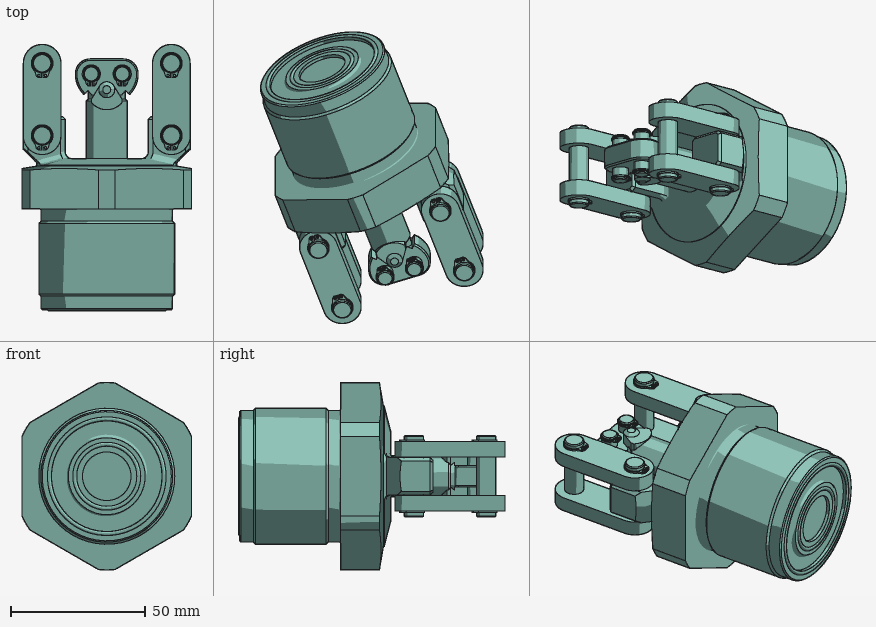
import cadquery as cq
import math


RIM_Y = 0.5
RIM_CHAMFER = 0.5
COLLAR_R = 24.5
THREAD_R = 25.3
THREAD_CHAMFER = THREAD_R - COLLAR_R
THREAD_Y0 = 5.6
THREAD_Y1 = 33.5
HEX_Y0 = 38.1
NECK_FILLET = 0.5
HEX_FLATS = 63.3
HEX_CORNER_R = 34.92
HEX_EDGE_Y = 52.6
DOME_R = 26.1
DOME_FOOT_Y = 54.0
DOME_EDGE_Y = 54.3
DOME_FLAT_R = 16.5
DOME_FLAT_Y = 56.8

BEAD_R = 0.8
OUTER_BEAD_R = 21.4
INNER_BEAD_R = 11.9
FACE_GROOVE_OUTER_R = 20.6
FACE_GROOVE_INNER_R = 14.3
FACE_GROOVE_DEPTH = 1.3
CENTRE_RECESS_R = 9.0
CENTRE_RECESS_DEPTH = 1.2

LINK_X = 24.0
LINK_WIDTH = 14.1
LINK_END_Y = 99.35
LINK_PIN_PITCH = 26.9
LINK_GAP = 14.2
LINK_THICKNESS = 5.9
LINK_PIN_R = 3.63
LINK_PIN_LENGTH = 30.4
LINK_PIN_YS = [LINK_END_Y - LINK_WIDTH / 2, LINK_END_Y - LINK_WIDTH / 2 - LINK_PIN_PITCH]
PIN_CHAMFER = 0.4
CLIP_THICKNESS = 0.6
CLIP_RING_WIDTH = 0.4
CLIP_EAR_RATIO = 1.48
CLIP_EAR_HOLE_R = 0.45
CLIP_SLIT = 0.5

LUG_OUTER_X = LINK_X + LINK_WIDTH / 2
LUG_INNER_X = 15.4
LUG_END_Y = 72.4
LUG_THICKNESS = 13.9
LUG_SIDE_CHAMFER_X = 1.8
LUG_SIDE_CHAMFER_Z = 1.3
LUG_END_CHAMFER = 1.0
LUG_FILLET = 2.5
LUG_TAPER_Y = 55.2

STEM_R = 7.65
STEM_SHOULDER_Y = 79.0
STEM_CHAMFER = 0.7
HEAD_THICKNESS = 7.9
HEAD_HALF_WIDTH = 11.7
HEAD_PIN_X = 5.8
HEAD_PIN_Y = 88.3
HEAD_END_Y = 94.0
HEAD_LOBE_R = 10.9
HEAD_NOTCH_X = 7.1
HEAD_NOTCH_Y = 82.1
HEAD_NOTCH_DEPTH = 1.5
HEAD_CHAMFER = 0.6
HEAD_PIN_R = 3.0
HEAD_PIN_LENGTH = 17.3
HEAD_CLIP_Z = 7.2
BOSS_Y = 82.5
BOSS_THICKNESS = 16.1
BOSS_TOP_R = 3.0
BOSS_FOOT_R = 7.5
BOSS_HALF_WIDTH = 5.7
BOSS_FLANK_ANGLE = 32
NIPPLE_TOP_R = 1.5
NIPPLE_HEIGHT = 1.0


def revolve_y(points):
    """Solid of revolution about the Y axis from (radius, y) points."""
    return cq.Workplane("XY").polyline(points).close().revolve(360, (0, 0, 0), (0, 1, 0))


def disc_z(x, y, z, radius, height):
    return cq.Workplane("XY", origin=(x, y, z)).circle(radius).extrude(height)


def seal_bead(radius):
    return (cq.Workplane("XY").center(radius, BEAD_R).circle(BEAD_R)
            .revolve(360, (-radius, 0, 0), (-radius, 1, 0)))


def face_groove():
    """Ring groove in the front face, with a concave fillet against the central boss."""
    floor_y = RIM_Y + FACE_GROOVE_DEPTH
    fillet_mid = FACE_GROOVE_DEPTH * (1 - math.sqrt(0.5))
    return (cq.Workplane("XY").moveTo(FACE_GROOVE_INNER_R, 0)
            .lineTo(FACE_GROOVE_INNER_R, RIM_Y)
            .threePointArc((FACE_GROOVE_INNER_R + fillet_mid, floor_y - fillet_mid),
                           (FACE_GROOVE_INNER_R + FACE_GROOVE_DEPTH, floor_y))
            .lineTo(FACE_GROOVE_OUTER_R, floor_y)
            .lineTo(FACE_GROOVE_OUTER_R, 0)
            .close().revolve(360, (0, 0, 0), (0, 1, 0)))


def barrel():
    turned = revolve_y([
        (0, RIM_Y),
        (COLLAR_R - RIM_CHAMFER, RIM_Y),
        (COLLAR_R, RIM_Y + RIM_CHAMFER),
        (COLLAR_R, THREAD_Y0),
        (THREAD_R, THREAD_Y0 + THREAD_CHAMFER),
        (THREAD_R, THREAD_Y1 - THREAD_CHAMFER),
        (COLLAR_R, THREAD_Y1),
        (COLLAR_R, HEX_Y0),
        (0, HEX_Y0),
    ])
    fillet_mid = NECK_FILLET * (1 - math.sqrt(0.5))
    neck_fillet = (cq.Workplane("XY").moveTo(0, HEX_Y0)
                   .lineTo(0, HEX_Y0 - NECK_FILLET)
                   .lineTo(COLLAR_R, HEX_Y0 - NECK_FILLET)
                   .threePointArc((COLLAR_R + fillet_mid, HEX_Y0 - fillet_mid),
                                  (COLLAR_R + NECK_FILLET, HEX_Y0))
                   .close().revolve(360, (0, 0, 0), (0, 1, 0)))
    return turned.union(neck_fillet)


def hexagon():
    """Hexagon with flats square to X, rounded corners and a conical rear face."""
    corner = HEX_FLATS / 2 / math.cos(math.pi / 6)
    angles = [math.radians(30 + 60 * i) for i in range(6)]
    prism = (cq.Workplane("XZ", origin=(0, HEX_Y0, 0))
             .polyline([(corner * math.cos(a), corner * math.sin(a)) for a in angles])
             .close().extrude(HEX_Y0 - DOME_FLAT_Y))
    envelope = revolve_y([
        (0, HEX_Y0),
        (HEX_CORNER_R, HEX_Y0),
        (HEX_CORNER_R, HEX_EDGE_Y),
        (DOME_R, DOME_FOOT_Y),
        (0, DOME_FOOT_Y),
    ])
    return prism.intersect(envelope)


def lug_blank(side):
    """Straight lug with chamfered sides and end, reaching down into the dome."""
    half = LUG_THICKNESS / 2
    width = LUG_OUTER_X - LUG_INNER_X
    mid_x = side * (LUG_OUTER_X + LUG_INNER_X) / 2
    flat_x = width / 2 - LUG_SIDE_CHAMFER_X
    flat_z = half - LUG_SIDE_CHAMFER_Z
    section = [(flat_x, half), (width / 2, flat_z), (width / 2, -flat_z), (flat_x, -half),
               (-flat_x, -half), (-width / 2, -flat_z), (-width / 2, flat_z), (-flat_x, half)]
    return (cq.Workplane("XZ", origin=(mid_x, HEX_EDGE_Y, 0))
            .polyline(section).close().extrude(HEX_EDGE_Y - LUG_END_Y)
            .faces(">Y").chamfer(LUG_END_CHAMFER))


def lugged_dome():
    """Rear dome with both lugs, filleted at their roots and trimmed round by a 45 degree cone."""
    wide_r = DOME_R + 11.9
    slope = (DOME_FLAT_Y - DOME_EDGE_Y) / (DOME_R - DOME_FLAT_R)
    wide_y = DOME_FLAT_Y - slope * (wide_r - DOME_FLAT_R)
    base_y = HEX_Y0 + 1
    dome = revolve_y([
        (0, base_y),
        (wide_r, base_y),
        (wide_r, wide_y),
        (DOME_FLAT_R, DOME_FLAT_Y),
        (0, DOME_FLAT_Y),
    ])
    lugs = lug_blank(-1).union(lug_blank(1))
    root_box = cq.selectors.BoxSelector((-LUG_OUTER_X - 0.1, wide_y, -LUG_THICKNESS / 2 - 0.1),
                                        (LUG_OUTER_X + 0.1, DOME_FLAT_Y + 0.1, LUG_THICKNESS / 2 + 0.1),
                                        boundingbox=True)
    dome = dome.union(lugs)
    dome = dome.edges(root_box).fillet(LUG_FILLET)
    trim = revolve_y([
        (0, base_y),
        (DOME_R, base_y),
        (DOME_R, LUG_TAPER_Y),
        (DOME_R + LUG_END_Y - LUG_TAPER_Y, LUG_END_Y),
        (0, LUG_END_Y),
    ])
    return dome.intersect(trim)


def make_housing():
    housing = barrel().union(hexagon()).union(lugged_dome())
    housing = housing.cut(face_groove())
    housing = housing.cut(revolve_y([
        (0, 0),
        (CENTRE_RECESS_R, 0),
        (CENTRE_RECESS_R, RIM_Y + CENTRE_RECESS_DEPTH),
        (0, RIM_Y + CENTRE_RECESS_DEPTH),
    ]))
    for bead_r in (OUTER_BEAD_R, INNER_BEAD_R):
        housing = housing.union(seal_bead(bead_r))
    for side in (-1, 1):
        housing = housing.cut(disc_z(side * LINK_X, LINK_PIN_YS[1], -LUG_THICKNESS, LINK_PIN_R,
                                     2 * LUG_THICKNESS))
    return housing


def clip(x, y, z, pin_r):
    """Retaining ring lying on level z, with two drilled ears pointing to -Y."""
    ear_end = CLIP_EAR_RATIO * pin_r
    ear_half = 0.6 * pin_r
    ring_r = pin_r + CLIP_RING_WIDTH
    ears = (cq.Workplane("XY", origin=(x, y, z))
            .polyline([(-0.8 * pin_r, -0.7 * pin_r), (0.8 * pin_r, -0.7 * pin_r),
                       (ear_half, -1.3 * pin_r), (0.4 * pin_r, -ear_end),
                       (-0.4 * pin_r, -ear_end), (-ear_half, -1.3 * pin_r)])
            .close().extrude(CLIP_THICKNESS))
    holes = (cq.Workplane("XY", origin=(x, y, z))
             .pushPoints([(s * pin_r / 3, -1.25 * pin_r) for s in (-1, 1)])
             .circle(CLIP_EAR_HOLE_R).extrude(CLIP_THICKNESS))
    slit = (cq.Workplane("XY", origin=(x, y - ear_end, z))
            .rect(CLIP_SLIT, ear_end).extrude(CLIP_THICKNESS))
    return disc_z(x, y, z, ring_r, CLIP_THICKNESS).union(ears).cut(holes).cut(slit)


def clipped_pin(x, y, pin_r, length, clip_z):
    """Chamfered pin along Z with a clip at either end; clip_z is the inner side of the clip."""
    pin = disc_z(x, y, -length / 2, pin_r, length).faces("<Z or >Z").chamfer(PIN_CHAMFER)
    for z in (clip_z, -clip_z - CLIP_THICKNESS):
        pin = pin.union(clip(x, y, z, pin_r))
    return pin


def make_link(side):
    """Pair of link plates joined by two clipped pins."""
    x = side * LINK_X
    plate_z = LINK_GAP / 2
    mid_y = sum(LINK_PIN_YS) / 2
    link = None
    for y in LINK_PIN_YS:
        pin = clipped_pin(x, y, LINK_PIN_R, LINK_PIN_LENGTH, plate_z + LINK_THICKNESS)
        link = pin if link is None else link.union(pin)
    for z in (plate_z, -plate_z - LINK_THICKNESS):
        plate = (cq.Workplane("XY", origin=(x, mid_y, z))
                 .slot2D(LINK_PIN_PITCH + LINK_WIDTH, LINK_WIDTH, 90).extrude(LINK_THICKNESS))
        link = link.union(plate)
    return link


def stem_rod():
    """Rod with a chamfered shoulder and a neck whose end is flattened to the head thickness."""
    neck_r = STEM_R - STEM_CHAMFER
    flat_y = HEAD_NOTCH_Y - HEAD_NOTCH_DEPTH
    rod = revolve_y([
        (0, DOME_FLAT_Y),
        (STEM_R, DOME_FLAT_Y),
        (STEM_R, STEM_SHOULDER_Y - STEM_CHAMFER),
        (neck_r, STEM_SHOULDER_Y),
        (neck_r, HEAD_NOTCH_Y),
        (0, HEAD_NOTCH_Y),
    ])
    for side in (-1, 1):
        flat = cq.Workplane("XY").box(2 * neck_r, HEAD_NOTCH_DEPTH, STEM_R, centered=(True, False, True))
        rod = rod.cut(flat.translate((0, flat_y, side * (HEAD_THICKNESS + STEM_R) / 2)))
    return rod


def head_plate():
    """Rounded plate with a flat end, notched at 45 degrees below so that two lobes remain."""
    shoulder_r = HEAD_END_Y - HEAD_PIN_Y
    flat_x = HEAD_HALF_WIDTH - shoulder_r
    shoulder_mid = shoulder_r * math.sqrt(0.5)
    lobe_mid = HEAD_LOBE_R * math.sqrt(0.5)
    lobe_x = HEAD_HALF_WIDTH - HEAD_LOBE_R
    lobe_end_y = HEAD_PIN_Y - HEAD_LOBE_R
    plate = (cq.Workplane("XY", origin=(0, 0, -HEAD_THICKNESS / 2))
             .moveTo(-flat_x, HEAD_END_Y)
             .lineTo(flat_x, HEAD_END_Y)
             .threePointArc((flat_x + shoulder_mid, HEAD_PIN_Y + shoulder_mid),
                            (HEAD_HALF_WIDTH, HEAD_PIN_Y))
             .threePointArc((lobe_x + lobe_mid, HEAD_PIN_Y - lobe_mid), (lobe_x, lobe_end_y))
             .lineTo(-lobe_x, lobe_end_y)
             .threePointArc((-lobe_x - lobe_mid, HEAD_PIN_Y - lobe_mid), (-HEAD_HALF_WIDTH, HEAD_PIN_Y))
             .threePointArc((-flat_x - shoulder_mid, HEAD_PIN_Y + shoulder_mid),
                            (-flat_x, HEAD_END_Y))
             .close().extrude(HEAD_THICKNESS)
             .faces("<Z or >Z").chamfer(HEAD_CHAMFER))
    notch_drop = HEAD_HALF_WIDTH - HEAD_NOTCH_X
    inner_x = HEAD_NOTCH_X - HEAD_NOTCH_DEPTH
    inner_y = HEAD_NOTCH_Y - HEAD_NOTCH_DEPTH
    notch = (cq.Workplane("XY", origin=(0, 0, -HEAD_THICKNESS / 2))
             .polyline([(-HEAD_HALF_WIDTH, HEAD_NOTCH_Y - notch_drop),
                        (-HEAD_NOTCH_X, HEAD_NOTCH_Y),
                        (-inner_x, inner_y),
                        (inner_x, inner_y),
                        (HEAD_NOTCH_X, HEAD_NOTCH_Y),
                        (HEAD_HALF_WIDTH, HEAD_NOTCH_Y - notch_drop)])
             .close().extrude(HEAD_THICKNESS))
    return plate.cut(notch)


def head_boss():
    """Tear-shaped boss through the head, with a conical nipple on both faces."""
    angle = math.radians(BOSS_FLANK_ANGLE)
    tangent_x = BOSS_TOP_R * math.cos(angle)
    tangent_y = BOSS_TOP_R * math.sin(angle)
    flank_end_y = tangent_y - (BOSS_HALF_WIDTH - tangent_x) / math.tan(angle)
    foot_y = -math.sqrt(BOSS_FOOT_R ** 2 - BOSS_HALF_WIDTH ** 2)
    boss = (cq.Workplane("XY", origin=(0, BOSS_Y, -BOSS_THICKNESS / 2))
            .moveTo(-tangent_x, tangent_y)
            .threePointArc((0, BOSS_TOP_R), (tangent_x, tangent_y))
            .lineTo(BOSS_HALF_WIDTH, flank_end_y).lineTo(BOSS_HALF_WIDTH, foot_y)
            .threePointArc((0, -BOSS_FOOT_R), (-BOSS_HALF_WIDTH, foot_y))
            .lineTo(-BOSS_HALF_WIDTH, flank_end_y)
            .close().extrude(BOSS_THICKNESS))
    length = BOSS_THICKNESS + 2 * NIPPLE_HEIGHT
    nipple = (disc_z(0, BOSS_Y, -length / 2, BOSS_TOP_R, length)
              .faces("<Z or >Z").chamfer(NIPPLE_HEIGHT, BOSS_TOP_R - NIPPLE_TOP_R))
    return boss.union(nipple)


def make_stem():
    stem = stem_rod().union(head_plate()).union(head_boss())
    for side in (-1, 1):
        stem = stem.union(clipped_pin(side * HEAD_PIN_X, HEAD_PIN_Y, HEAD_PIN_R, HEAD_PIN_LENGTH,
                                      HEAD_CLIP_Z))
    return stem


housing = make_housing()
stem = make_stem()
links = [make_link(side) for side in (-1, 1)]

result = cq.Compound.makeCompound([housing.val(), stem.val(), *[link.val() for link in links]])